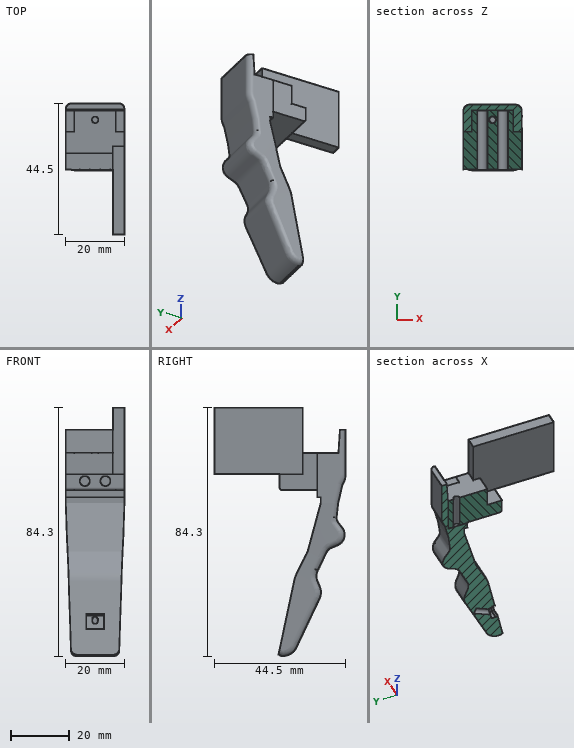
import cadquery as cq
import math


width = 20.0
block_height = 12.7
block_front = -22.5
block_edge_radius = 1.0
shelf_top = -7.2
upper_front = -17.0
tongue_width = 14.0
tongue_back = -2.5
wire_hole_diameter = 2.2
wire_hole_y = -5.6
screw_hole_diameter = 3.4
screw_spacing = 7.0
screw_z = -9.6

plate_thickness = 4.0
plate_length = 30.0
plate_height = 22.5
plate_back = -14.5

back_wall_top = 7.85
back_wall_thickness = 2.0
cheek_front = -9.7
cheek_bottom = -15.1
neck_front = -8.5
neck_bottom = -17.05
overall_height = 84.29
grip_bottom = shelf_top + plate_height - overall_height
edge_radius = 2.0

bend_front = (-12.94, -33.5)
bend_back = (-8.19, -36.24)

bend_width = 18.55
bottom_width = 16.3
bottom_section_drop = 1.0
bottom_section_z = grip_bottom - bottom_section_drop
section_margin = 12.0

path_tolerance = 0.01

knee = (-17.22, -42.05)
knee_radius = 10.8
toe = (-22.82, -68.45)

pocket_z = -57.2
pocket_mouth = (6.1, 5.2)
pocket_mouth_depth = 0.9
pocket_floor = (6.0, 4.85)
pocket_depth = 2.3
channel_diameter = 2.0
channel_z = -56.85
channel_rise = 25.0
channel_length = 6.0
channel_lead = 0.8

back_profile = [
    (0.0, back_wall_top, 0.0),
    (0.0, -8.75, 6.0),
    (-1.1, -11.0, 0.0),
    (-2.51, neck_bottom, 0.0),
    (-3.145, -22.8, 2.5),
    (1.85, -29.4, 3.85),
    (-6.0, -32.77, 3.1),
    (-10.31, -41.73, 4.6),
    (-7.89, -47.48, 4.7),
    (-18.09, grip_bottom, 5.2),
    (-21.7, grip_bottom, 0.0),
    (*toe, 0.0),
]
front_profile = [
    (*knee, knee_radius),
    (*bend_front, 0.0),
    (neck_front, neck_bottom, 0.0),
    (neck_front, cheek_bottom, 0.0),
    (cheek_front, cheek_bottom, 0.0),
    (cheek_front, 0.0, 0.0),
    (tongue_back, 0.0, 0.0),
    (-back_wall_thickness, back_wall_top, 0.0),
]


def rounded_path(corners):
    """Open (Y, Z) path through the corners, each inner corner rounded with a tangent arc."""
    path = cq.Workplane("YZ").moveTo(*corners[0][:2])
    for before, (y, z, radius), after in zip(corners, corners[1:], corners[2:]):
        if radius == 0:
            path = path.lineTo(y, z)
            continue
        corner = cq.Vector(y, z)
        to_before = (cq.Vector(*before[:2]) - corner).normalized()
        to_after = (cq.Vector(*after[:2]) - corner).normalized()
        half_angle = to_before.getAngle(to_after) / 2
        setback = radius / math.tan(half_angle)
        arc_start = corner + to_before * setback
        arc_end = corner + to_after * setback
        bisector = (to_before + to_after).normalized()
        arc_middle = corner + bisector * (radius / math.sin(half_angle) - radius)
        path = path.lineTo(arc_start.x, arc_start.y)
        path = path.threePointArc((arc_middle.x, arc_middle.y), (arc_end.x, arc_end.y))
    return path.lineTo(*corners[-1][:2])


def cross_section(back, front, section_width):
    """Rectangular wire across X whose two ends are the (Y, Z) points back and front."""
    half = section_width / 2
    corners = [(-half, *back), (half, *back), (half, *front), (-half, *front)]
    return cq.Wire.makePolygon([cq.Vector(*c) for c in corners], close=True)


def make_taper_envelope():
    """Full-width top box followed by two tapering stretches that meet on the slanted line."""
    bend_dir = (cq.Vector(*bend_back) - cq.Vector(*bend_front)).normalized()
    bend_rear_end = cq.Vector(*bend_back) + bend_dir * section_margin
    bend_front_end = cq.Vector(*bend_front) - bend_dir * section_margin
    rear = bend_rear_end.x
    fore = bend_front_end.x

    top = cross_section((rear, back_wall_top), (fore, back_wall_top), width)
    neck = cross_section((rear, neck_bottom), (fore, neck_bottom), width)
    bend = cross_section(bend_rear_end.toTuple()[:2], bend_front_end.toTuple()[:2], bend_width)
    bottom = cross_section((rear, bottom_section_z), (fore, bottom_section_z), bottom_width)

    envelope = cq.Workplane(cq.Solid.makeLoft([top, neck], True))
    for upper, lower in ((neck, bend), (bend, bottom)):
        envelope = envelope.union(cq.Workplane(cq.Solid.makeLoft([upper, lower], True)))
    return envelope


def round_back_edges(grip):
    """Round the two long edges that run down the back of the grip and around its toe."""
    back_path = rounded_path(back_profile).wire().val()
    edges = []
    for edge in grip.edges().vals():
        middle = edge.positionAt(0.5)
        on_axis = cq.Vertex.makeVertex(0, middle.y, middle.z)
        if abs(middle.x) > bottom_width / 4 and back_path.distance(on_axis) < path_tolerance:
            edges.append(edge)
    return grip.newObject(edges).fillet(edge_radius)


def make_tongue():
    """The part of the block that fills the slot between the grip's cheeks."""
    tongue = cq.Workplane("XY").box(
        tongue_width, tongue_back - cheek_front, block_height, centered=(True, False, False)
    )
    return tongue.translate((0, cheek_front, -block_height))


def make_grip():
    """Tapering handle with finger hollows down its back and a slot for the block's tongue."""
    outline = rounded_path(back_profile + front_profile).close()
    grip = outline.extrude(width, both=True).intersect(make_taper_envelope())
    grip = round_back_edges(grip)
    return grip.cut(make_tongue()).cut(make_pocket())


def make_pocket():
    """Stepped rectangular pocket, square to the lower front face, with a rising hole in its floor."""
    slope = (knee[0] - toe[0]) / (knee[1] - toe[1])
    pocket_y = toe[0] + slope * (pocket_z - toe[1])
    face = cq.Plane((0, pocket_y, pocket_z), xDir=(1, 0, 0), normal=(0, -1, slope))
    mouth = cq.Workplane(face).rect(*pocket_mouth).extrude(-pocket_mouth_depth)
    floor = cq.Workplane(face).rect(*pocket_floor).extrude(-pocket_depth)

    floor_centre = face.toWorldCoords((0, 0, -pocket_depth))
    channel_y = floor_centre.y + slope * (channel_z - floor_centre.z)
    rise = math.radians(channel_rise)
    direction = cq.Vector(0, math.cos(rise), math.sin(rise))
    start = cq.Vector(0, channel_y, channel_z) - direction * channel_lead
    channel = cq.Solid.makeCylinder(
        channel_diameter / 2, channel_lead + channel_length, start, direction
    )
    return mouth.union(floor).union(cq.Workplane(channel))


def make_block():
    """Stepped block with a tongue at its back, a notch for the side plate and drilled holes."""
    profile = [
        (cheek_front, 0),
        (upper_front, 0),
        (upper_front, shelf_top),
        (block_front, shelf_top),
        (block_front, -block_height),
        (cheek_front, -block_height),
    ]
    block = cq.Workplane("YZ").polyline(profile).close().extrude(width / 2, both=True)
    block = block.faces("<Y").edges("<Z").fillet(block_edge_radius)
    block = block.union(make_tongue()).cut(make_side_plate())

    wire_hole = cq.Workplane("XY").center(0, wire_hole_y)
    wire_hole = wire_hole.circle(wire_hole_diameter / 2).extrude(-block_height)
    screw_points = [(side * screw_spacing / 2, screw_z) for side in (-1, 1)]
    screw_holes = cq.Workplane("XZ").pushPoints(screw_points)
    screw_holes = screw_holes.circle(screw_hole_diameter / 2).extrude(-block_front)
    return block.cut(wire_hole).cut(screw_holes)


def make_side_plate():
    """Upright plate on the block's shelf, let into a notch in the block's upper front."""
    plate = cq.Workplane("XY").box(
        plate_thickness, plate_length, plate_height, centered=False
    )
    return plate.translate((width / 2 - plate_thickness, plate_back - plate_length, shelf_top))


grip = make_grip()
block = make_block()
side_plate = make_side_plate()
result = cq.Compound.makeCompound(
    [grip.solids().val(), block.solids().val(), side_plate.solids().val()]
)